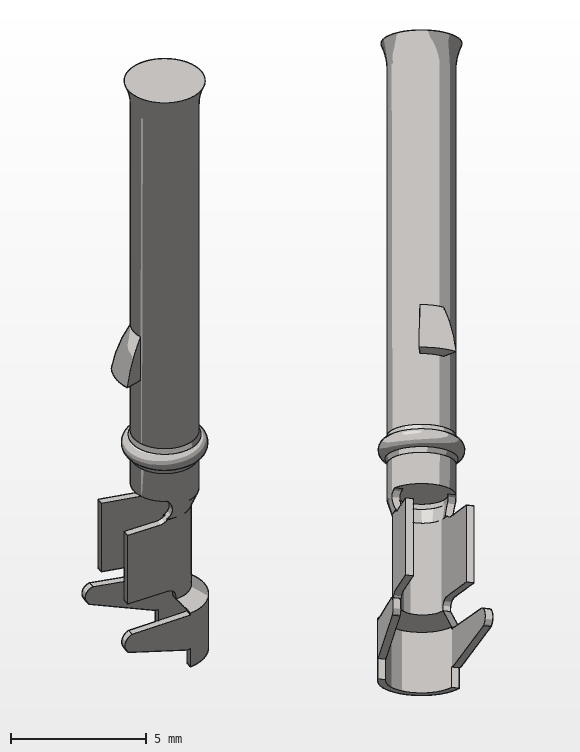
import cadquery as cq
import math

total_length = 25.0
barrel_radius = 1.27
barrel_bottom = 7.27
mouth_radius = 1.5
flare_height = 1.05
flare_middle_radius = 1.32
bead_radius = 1.6
bead_bottom = 8.5
bead_top = 9.6
bead_shoulder_height = 0.2
bead_shoulder_radius = 1.35

tang_bottom = 12.37
tang_top = 14.3
tang_radius = 1.97
tang_angle = 43.0
tang_middle_radius = 1.72
tang_overlap = 0.12

sheet = 0.3
wire_leg_tilt = math.radians(6)
grip_leg_tilt = math.radians(7.1)
leg_reach = 3.5
wire_radius = 1.12
wire_centre_y = -0.15
wire_bottom = 2.82
wire_top = 6.42
neck_top = 7.07
grip_radius = 1.62
grip_centre_y = 0.0
grip_top = 2.37

wire_wing_y = -2.1
wire_wing_bottom = 3.27
wire_wing_top = 6.3
notch_depth_y = -0.22
notch_top_y = -0.45
notch_bottom_y = -0.67
wire_foot_y = -0.05
wire_foot_radius = 0.35
grip_edge_y = 0.32
grip_root_y = 0.17
grip_wing_top = 2.3
grip_root_z = 0.8
grip_tip_y = -2.47
grip_tip_top_y = -2.17
grip_tip_z = 1.85
grip_tip_low_y = -2.32
grip_tip_low_z = 1.55
trim_margin = 0.25


def make_barrel():
    """Solid barrel with a flared mouth and a rounded bead."""
    bead_middle = (bead_bottom + bead_top) / 2
    flare_start = total_length - flare_height
    flare_middle = (flare_middle_radius, total_length - flare_height / 2)
    lower_shoulder = (bead_shoulder_radius, bead_bottom + bead_shoulder_height)
    upper_shoulder = (bead_shoulder_radius, bead_top - bead_shoulder_height)
    profile = (
        cq.Workplane("XZ")
        .moveTo(0, barrel_bottom)
        .lineTo(barrel_radius, barrel_bottom)
        .lineTo(barrel_radius, bead_bottom)
        .lineTo(*lower_shoulder)
        .threePointArc((bead_radius, bead_middle), upper_shoulder)
        .lineTo(barrel_radius, bead_top)
        .lineTo(barrel_radius, flare_start)
        .threePointArc(flare_middle, (mouth_radius, total_length))
        .lineTo(0, total_length)
        .close()
    )
    return profile.revolve(360, (0, 0, 0), (0, 1, 0))


def make_tang():
    """Sector with a flat foot and a bulging outer face."""
    root = barrel_radius - tang_overlap
    bulge = (tang_middle_radius, (tang_bottom + tang_top) / 2)
    profile = (
        cq.Workplane("XZ")
        .moveTo(root, tang_bottom)
        .lineTo(tang_radius, tang_bottom)
        .threePointArc(bulge, (barrel_radius, tang_top))
        .lineTo(root, tang_top)
        .close()
    )
    sector = profile.revolve(tang_angle, (0, 0, 0), (0, 1, 0))
    return sector.rotate((0, 0, 0), (0, 0, 1), -90 - tang_angle / 2)


def draw_u(plane, radius, centre_y, leg_tilt):
    """Add a U of sheet whose legs spread tangentially from its round back."""
    inner = radius - sheet
    normal = (math.cos(leg_tilt), math.sin(leg_tilt))
    along = (leg_reach * math.sin(leg_tilt), -leg_reach * math.cos(leg_tilt))

    def root(r, side):
        return (side * r * normal[0], centre_y + r * normal[1])

    def tip(r, side):
        x, y = root(r, side)
        return (x + side * along[0], y + along[1])

    return (
        plane.moveTo(*tip(radius, 1))
        .lineTo(*root(radius, 1))
        .threePointArc((0, centre_y + radius), root(radius, -1))
        .lineTo(*tip(radius, -1))
        .lineTo(*tip(inner, -1))
        .lineTo(*root(inner, -1))
        .threePointArc((0, centre_y + inner), root(inner, 1))
        .lineTo(*tip(inner, 1))
        .close()
    )


def straight_u(section, bottom, top):
    plane = cq.Workplane("XY").workplane(offset=bottom)
    return draw_u(plane, *section).extrude(top - bottom)


def tapered_u(low_section, high_section, bottom, top):
    plane = cq.Workplane("XY").workplane(offset=bottom)
    low = draw_u(plane, *low_section)
    return draw_u(low.workplane(offset=top - bottom), *high_section).loft(ruled=True)


def make_neck():
    """Hollow cone from the wire crimp up to the barrel, ending in a short ring."""

    def cone(wall_offset):
        low = cq.Workplane("XY", origin=(0, wire_centre_y, wire_top)).circle(wire_radius - wall_offset)
        high = low.workplane(offset=neck_top - wire_top).center(0, -wire_centre_y)
        return high.circle(barrel_radius - wall_offset).loft(ruled=True)

    ring = (
        cq.Workplane("XY")
        .workplane(offset=neck_top)
        .circle(barrel_radius)
        .circle(barrel_radius - sheet)
        .extrude(barrel_bottom - neck_top)
    )
    return cone(0).cut(cone(sheet)).union(ring)


def make_side_outline():
    """Block along X that trims the legs to the wing shapes."""
    back_y = grip_radius + trim_margin
    notch_middle = (barrel_bottom + wire_wing_top) / 2
    foot_end_y = wire_foot_y - wire_foot_radius
    foot_start = wire_wing_bottom - wire_foot_radius
    arc_offset = wire_foot_radius * (1 - math.sqrt(0.5))
    return (
        cq.Workplane("YZ")
        .moveTo(back_y, 0)
        .lineTo(grip_edge_y, 0)
        .lineTo(grip_edge_y, grip_root_z)
        .lineTo(grip_root_y, grip_root_z)
        .lineTo(grip_tip_low_y, grip_tip_low_z)
        .threePointArc((grip_tip_y, grip_tip_z), (grip_tip_top_y, grip_wing_top))
        .lineTo(grip_edge_y, grip_wing_top)
        .lineTo(grip_edge_y, grip_top)
        .lineTo(wire_foot_y, wire_bottom)
        .lineTo(wire_foot_y, foot_start)
        .threePointArc(
            (wire_foot_y - arc_offset, wire_wing_bottom - arc_offset),
            (foot_end_y, wire_wing_bottom),
        )
        .lineTo(wire_wing_y, wire_wing_bottom)
        .lineTo(wire_wing_y, wire_wing_top)
        .lineTo(notch_bottom_y, wire_wing_top)
        .threePointArc((notch_depth_y, notch_middle), (notch_top_y, barrel_bottom))
        .lineTo(back_y, barrel_bottom)
        .close()
        .extrude(2 * grip_radius, both=True)
    )


def make_crimp():
    """Wire crimp, insulation grip and the tapers that join them."""
    wire_section = (wire_radius, wire_centre_y, wire_leg_tilt)
    grip_section = (grip_radius, grip_centre_y, grip_leg_tilt)
    strip = (
        straight_u(grip_section, 0, grip_top)
        .union(tapered_u(grip_section, wire_section, grip_top, wire_bottom))
        .union(straight_u(wire_section, wire_bottom, wire_top))
        .union(make_neck())
    )
    return strip.intersect(make_side_outline())


result = make_barrel().union(make_tang()).union(make_crimp())